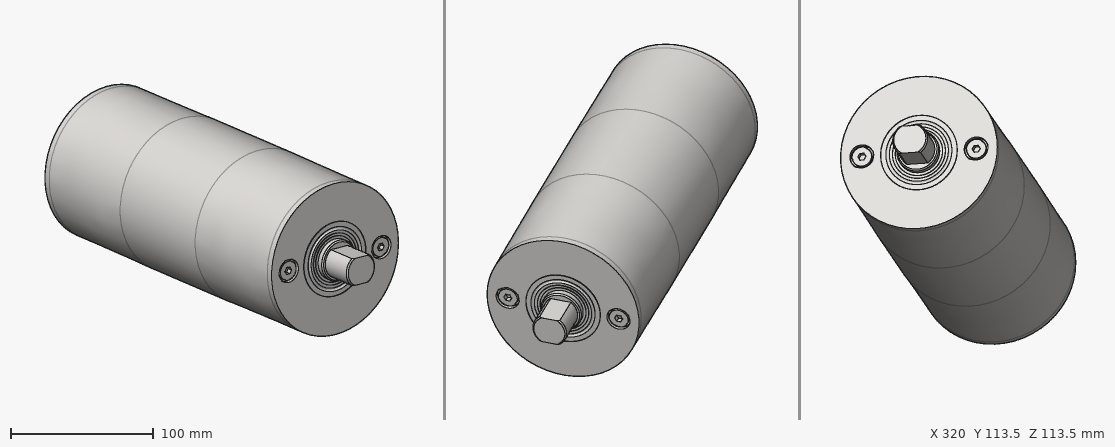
import cadquery as cq
import math

OVERALL_LENGTH = 320.0
ROLLER_LENGTH = 260.0
CAP_THICKNESS = 5.0
CROWN_FLAT_LENGTH = 86.0
CROWN_DIAMETER = 113.5
CAP_DIAMETER = 112.5
SHELL_END_DIAMETER = CAP_DIAMETER

COLLAR_DIAMETER = 30.0
COLLAR_LENGTH = 5.0
COLLAR_CHAMFER = 1.0
SHAFT_DIAMETER = 25.0
SHAFT_CHAMFER = 1.0
SHAFT_ACROSS_FLATS = 20.0

BEARING_SEAT_DIAMETER = 55.0
BEARING_DIAMETER = 54.98
BEARING_GAP_DEPTH = 0.5
OUTER_GROOVE_DIAMETER = 47.4
OUTER_GROOVE_WIDTH = 2.5
OUTER_GROOVE_DEPTH = 1.25
SEAL_OUTER_DIAMETER = 38.0
SEAL_INNER_DIAMETER = 34.0
SEAL_GROOVE_DEPTH = 0.5

SCREW_OFFSET = 41.0
COUNTERBORE_DIAMETER = 17.0
SCREW_HEAD_DIAMETER = 14.0
SCREW_GROOVE_DEPTH = 3.0
SCREW_HEAD_RECESS = 0.5
SOCKET_ACROSS_FLATS = 5.0
SOCKET_DEPTH = 4.0

SHAFT_END = OVERALL_LENGTH / 2
CAP_FACE = ROLLER_LENGTH / 2
SHELL_END = CAP_FACE - CAP_THICKNESS
COLLAR_FACE = CAP_FACE + COLLAR_LENGTH


def cylinder_along_x(diameter, start, end, y=0.0):
    """Solid cylinder parallel to X from start to end, offset from the axis by y."""
    return (
        cq.Workplane("YZ", origin=(start, y, 0))
        .circle(diameter / 2)
        .extrude(end - start)
    )


def ring_along_x(outer_diameter, inner_diameter, depth, y=0.0):
    """Ring lying just under the +X cap face, used to cut annular grooves."""
    return (
        cq.Workplane("YZ", origin=(CAP_FACE - depth, y, 0))
        .circle(outer_diameter / 2)
        .circle(inner_diameter / 2)
        .extrude(depth)
    )


def make_roller():
    """Crowned shell: a cylindrical middle that tapers to both end caps."""
    crown_end = CROWN_FLAT_LENGTH / 2
    crown_radius = CROWN_DIAMETER / 2
    shell_end_radius = SHELL_END_DIAMETER / 2
    return (
        cq.Workplane("XY")
        .moveTo(-SHELL_END, 0)
        .lineTo(-SHELL_END, shell_end_radius)
        .lineTo(-crown_end, crown_radius)
        .lineTo(crown_end, crown_radius)
        .lineTo(SHELL_END, shell_end_radius)
        .lineTo(SHELL_END, 0)
        .close()
        .revolve(360, (0, 0, 0), (1, 0, 0))
    )


def make_shaft_end():
    """Stub shaft on the +X side with a chamfered end and two flats facing +Z and -Z."""
    shaft = cylinder_along_x(SHAFT_DIAMETER, COLLAR_FACE, SHAFT_END)
    shaft = shaft.faces(">X").chamfer(SHAFT_CHAMFER)
    flats = cq.Workplane("XY").box(OVERALL_LENGTH, SHAFT_DIAMETER, SHAFT_ACROSS_FLATS)
    return shaft.intersect(flats)


def make_outer_groove():
    """Round-bottomed groove around the shaft, inside the bearing."""
    outer_radius = OUTER_GROOVE_DIAMETER / 2
    inner_radius = outer_radius - OUTER_GROOVE_WIDTH
    bottom_radius = (outer_radius + inner_radius) / 2
    return (
        cq.Workplane("XY")
        .moveTo(CAP_FACE, outer_radius)
        .threePointArc((CAP_FACE - OUTER_GROOVE_DEPTH, bottom_radius), (CAP_FACE, inner_radius))
        .close()
        .revolve(360, (0, 0, 0), (1, 0, 0))
    )


def cut_screw(end, y):
    """Cut the counterbore around a screw head, sink the head and cut its hexagon socket."""
    counterbore = ring_along_x(COUNTERBORE_DIAMETER, SCREW_HEAD_DIAMETER, SCREW_GROOVE_DEPTH, y)
    head_top = CAP_FACE - SCREW_HEAD_RECESS
    head_clearance = cylinder_along_x(SCREW_HEAD_DIAMETER, head_top, CAP_FACE, y)
    across_corners = SOCKET_ACROSS_FLATS / math.cos(math.pi / 6)
    socket = (
        cq.Workplane("YZ", origin=(head_top - SOCKET_DEPTH, y, 0))
        .polygon(6, across_corners)
        .extrude(SOCKET_DEPTH)
    )
    return end.cut(counterbore.union(head_clearance)).cut(socket)


def make_end():
    """End cap, bearing details, collar and shaft of the +X side."""
    end = cylinder_along_x(CAP_DIAMETER, SHELL_END, CAP_FACE)
    collar = cylinder_along_x(COLLAR_DIAMETER, CAP_FACE, COLLAR_FACE)
    collar = collar.faces(">X").chamfer(COLLAR_CHAMFER)
    end = end.cut(ring_along_x(BEARING_SEAT_DIAMETER, BEARING_DIAMETER, BEARING_GAP_DEPTH))
    end = end.cut(make_outer_groove())
    end = end.cut(ring_along_x(SEAL_OUTER_DIAMETER, SEAL_INNER_DIAMETER, SEAL_GROOVE_DEPTH))
    for y in (-SCREW_OFFSET, SCREW_OFFSET):
        end = cut_screw(end, y)
    return end.union(collar).union(make_shaft_end())


right_end = make_end()
left_end = right_end.mirror("YZ")
result = make_roller().union(right_end).union(left_end)